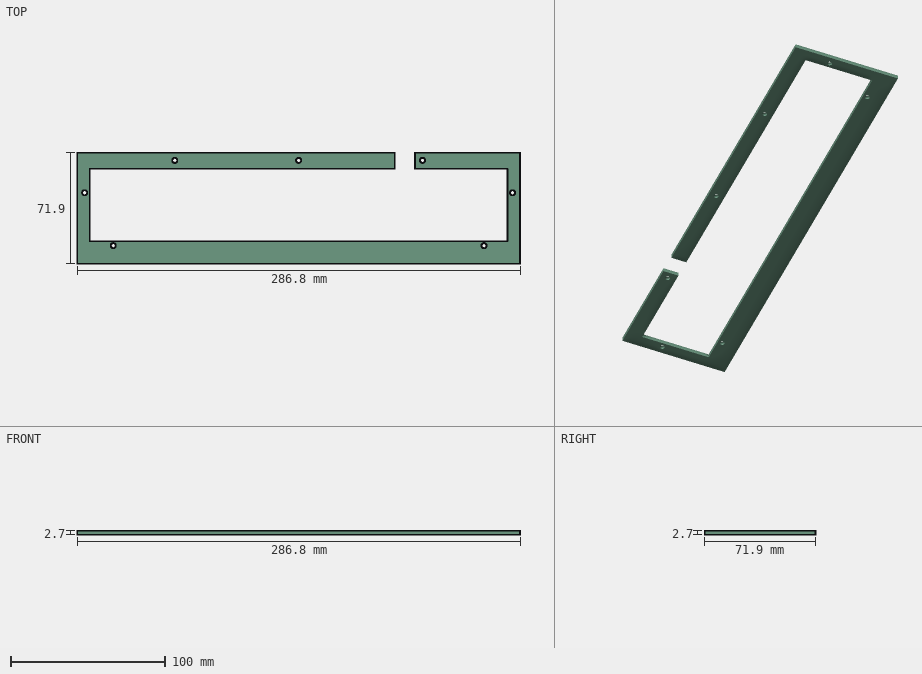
import cadquery as cq

LENGTH = 286.76
WIDTH = 71.93
THICKNESS = 2.7

SIDE_RAIL = 8.2
BACK_RAIL = 10.5
FRONT_RAIL = 14.7

GAP_LEFT_X = 62.3
GAP_WIDTH = 13.0

HOLE_DIAMETER = 3.2
BACK_HOLE_PITCH = 80.2
BACK_HOLE_INSET = 5.0
SIDE_HOLE_INSET = 4.9
SIDE_HOLE_Y = 10.0
FRONT_HOLE_PITCH = 240.0
FRONT_HOLE_INSET = 11.7

HALF_LENGTH = LENGTH / 2
HALF_WIDTH = WIDTH / 2


def block(x_min, x_max, y_min, y_max):
    """Full-thickness box between the given X and Y limits."""
    return cq.Workplane("XY").box(
        x_max - x_min, y_max - y_min, THICKNESS, centered=False
    ).translate((x_min, y_min, 0))


def frame():
    """Rectangular frame whose back rail is interrupted by the gap."""
    window_back_y = HALF_WIDTH - BACK_RAIL
    plate = block(-HALF_LENGTH, HALF_LENGTH, -HALF_WIDTH, HALF_WIDTH)
    window = block(
        -HALF_LENGTH + SIDE_RAIL,
        HALF_LENGTH - SIDE_RAIL,
        -HALF_WIDTH + FRONT_RAIL,
        window_back_y,
    )
    gap = block(GAP_LEFT_X, GAP_LEFT_X + GAP_WIDTH, window_back_y, HALF_WIDTH)
    return plate.cut(window).cut(gap)


def hole_centres():
    """Three holes in the back rail, and a mirrored pair in the side and front rails."""
    back_y = HALF_WIDTH - BACK_HOLE_INSET
    front_y = -HALF_WIDTH + FRONT_HOLE_INSET
    centres = [(0, back_y)]
    for side in (-1, 1):
        centres.append((side * BACK_HOLE_PITCH, back_y))
        centres.append((side * (HALF_LENGTH - SIDE_HOLE_INSET), SIDE_HOLE_Y))
        centres.append((side * FRONT_HOLE_PITCH / 2, front_y))
    return centres


def screw_holes():
    """Cylinders that cut the screw holes through the full thickness."""
    return (
        cq.Workplane("XY")
        .pushPoints(hole_centres())
        .circle(HOLE_DIAMETER / 2)
        .extrude(THICKNESS)
    )


result = frame().cut(screw_holes())